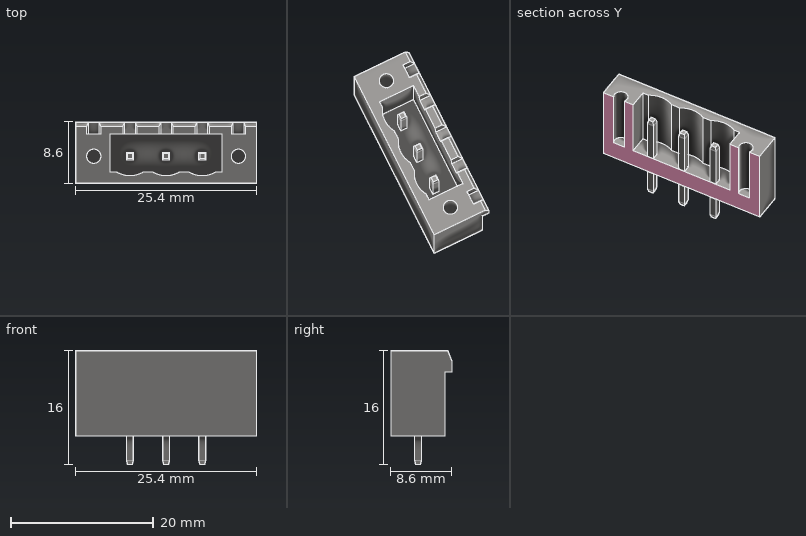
import cadquery as cq


PITCH = 5.08
PIN_COUNT = 3
PIN_WIDTH = 1.0
PIN_TIP_WIDTH = 0.7
PIN_TAPER = 0.6
PIN_TAIL_LENGTH = 4.0
PIN_TOP = 10.0

POSITION_COUNT = PIN_COUNT + 2
LENGTH = PITCH * POSITION_COUNT
HEIGHT = 12.0
FRONT_Y = -3.8
BACK_Y = 3.8

LEDGE_OVERHANG = 1.0
LEDGE_HEIGHT = 3.0
LEDGE_BEVEL_DEPTH = 0.6
LEDGE_BEVEL_HEIGHT = 1.5
LEDGE_Y = BACK_Y + LEDGE_OVERHANG

NOTCH_TOP_WIDTH = 2.0
NOTCH_FLOOR_WIDTH = 1.5
NOTCH_DEPTH = LEDGE_BEVEL_HEIGHT

CAVITY_LENGTH = 15.7
CAVITY_FRONT_Y = -2.2
CAVITY_BACK_Y = 3.1
CAVITY_FLOOR = 3.0
BAY_WIDTH = 3.8
BAY_DEPTH = 0.54
BAY_RADIUS = ((BAY_WIDTH / 2) ** 2 + BAY_DEPTH**2) / (2 * BAY_DEPTH)

MOUNT_HOLE_DIAMETER = 2.0
MOUNT_HOLE_DEPTH = HEIGHT - CAVITY_FLOOR


def row_positions(count):
    """X positions of a centred row at the pin pitch."""
    return [(index - (count - 1) / 2) * PITCH for index in range(count)]


def make_housing():
    """Side profile with the bevelled ledge, extruded along the row."""
    profile = [
        (FRONT_Y, 0),
        (BACK_Y, 0),
        (BACK_Y, HEIGHT - LEDGE_HEIGHT),
        (LEDGE_Y, HEIGHT - LEDGE_HEIGHT),
        (LEDGE_Y, HEIGHT - LEDGE_BEVEL_HEIGHT),
        (LEDGE_Y - LEDGE_BEVEL_DEPTH, HEIGHT),
        (FRONT_Y, HEIGHT),
    ]
    return cq.Workplane("YZ").polyline(profile).close().extrude(LENGTH / 2, both=True)


def make_cavity():
    """Rectangular pocket plus the round bays in its front wall."""
    depth = HEIGHT - CAVITY_FLOOR
    cavity_width = CAVITY_BACK_Y - CAVITY_FRONT_Y
    floor = cq.Workplane("XY").workplane(offset=CAVITY_FLOOR)
    cavity = (
        floor.center(0, (CAVITY_FRONT_Y + CAVITY_BACK_Y) / 2)
        .rect(CAVITY_LENGTH, cavity_width)
        .extrude(depth)
    )
    bay_centre_y = CAVITY_FRONT_Y - BAY_DEPTH + BAY_RADIUS
    for x in row_positions(PIN_COUNT):
        bay = floor.center(x, bay_centre_y).circle(BAY_RADIUS).extrude(depth)
        front_half = floor.center(x, CAVITY_FRONT_Y).rect(BAY_WIDTH, 2 * BAY_DEPTH).extrude(depth)
        cavity = cavity.union(bay.intersect(front_half))
    return cavity


def make_notch(x):
    """Notch with sloping sides, open at the top and at the back."""
    floor_z = HEIGHT - NOTCH_DEPTH
    section = [
        (x - NOTCH_FLOOR_WIDTH / 2, floor_z),
        (x + NOTCH_FLOOR_WIDTH / 2, floor_z),
        (x + NOTCH_TOP_WIDTH / 2, HEIGHT),
        (x - NOTCH_TOP_WIDTH / 2, HEIGHT),
    ]
    start = cq.Workplane("XZ", origin=(0, CAVITY_BACK_Y, 0))
    return start.polyline(section).close().extrude(CAVITY_BACK_Y - LEDGE_Y)


def make_mount_hole(x):
    top = cq.Workplane("XY", origin=(x, 0, HEIGHT))
    return top.circle(MOUNT_HOLE_DIAMETER / 2).extrude(-MOUNT_HOLE_DEPTH)


def make_pin(x):
    """Square pin tapered at both ends."""
    shank_bottom = PIN_TAPER - PIN_TAIL_LENGTH
    shank_top = PIN_TOP - PIN_TAPER
    pin = (
        cq.Workplane("XY", origin=(x, 0, shank_bottom))
        .rect(PIN_WIDTH, PIN_WIDTH)
        .extrude(shank_top - shank_bottom)
    )
    for tip_base, taper in ((shank_top, PIN_TAPER), (shank_bottom, -PIN_TAPER)):
        tip = (
            cq.Workplane("XY", origin=(x, 0, tip_base))
            .rect(PIN_WIDTH, PIN_WIDTH)
            .workplane(offset=taper)
            .rect(PIN_TIP_WIDTH, PIN_TIP_WIDTH)
            .loft()
        )
        pin = pin.union(tip)
    return pin


result = make_housing().cut(make_cavity())

position_xs = row_positions(POSITION_COUNT)
for position_x in position_xs:
    result = result.cut(make_notch(position_x))

for mount_x in (position_xs[0], position_xs[-1]):
    result = result.cut(make_mount_hole(mount_x))

for pin_x in row_positions(PIN_COUNT):
    result = result.union(make_pin(pin_x))